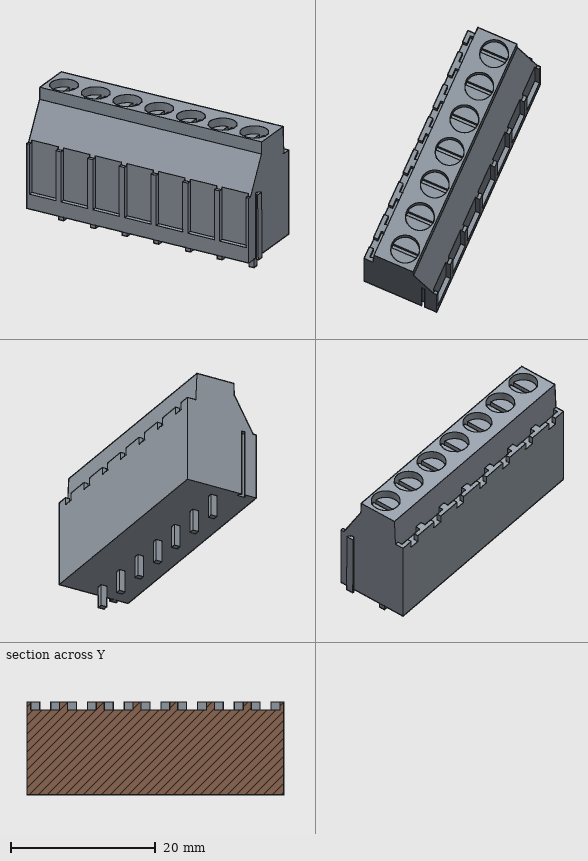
import cadquery as cq

POLES = 7
OVERALL_LENGTH = 36.2
HOUSING_LENGTH = 35.55
HOUSING_DEPTH = 11.0
HOUSING_HEIGHT = 17.05
PITCH = HOUSING_LENGTH / POLES

FRONT_LIP_HEIGHT = 9.92
FRONT_LIP_DEPTH = 0.5
SLOPE_TOP_Z = 15.25
SLOPE_TOP_Y = 3.5
TOP_FRONT_Y = 3.6
TOP_BACK_Y = 9.5
LEDGE_HEIGHT = 12.85
LEDGE_FRONT_Y = 9.65

POCKET_WIDTH = 4.25
POCKET_DEPTH = 0.7
POCKET_FLOOR_Z = 2.28

SCREW_Y = 5.9
SCREW_DIAMETER = 4.0
SCREW_WELL_DEPTH = 1.23
SCREW_SLOT_WIDTH = 0.58
SCREW_SLOT_DEPTH = 0.72

MARKER_NECK_WIDTH = 1.5
MARKER_HEAD_WIDTH = 3.95
MARKER_NECK_LENGTH = 0.65
MARKER_SLOT_DEPTH = 1.1

PIN_LENGTH = 3.25
PIN_WIDTH = 0.8
PIN_DEPTH = 0.9
PIN_Y = 5.55

DOVETAIL_Y = 2.05
DOVETAIL_NECK_WIDTH = 0.47
DOVETAIL_HEAD_WIDTH = 1.1
DOVETAIL_NECK_LENGTH = 0.1
DOVETAIL_FLARE_END = 0.35
DOVETAIL_LENGTH = OVERALL_LENGTH - HOUSING_LENGTH
TONGUE_TIP_TAPER = 0.1

POLE_CENTRES = [(pole + 0.5) * PITCH for pole in range(POLES)]


def box(width, depth, height, x_centre, y_min, z_min):
    """Box centred on x_centre that grows towards +Y and +Z."""
    block = cq.Workplane("XY").box(width, depth, height, centered=(True, False, False))
    return block.translate((x_centre, y_min, z_min))


def housing():
    profile = [
        (0, 0),
        (HOUSING_DEPTH, 0),
        (HOUSING_DEPTH, LEDGE_HEIGHT),
        (LEDGE_FRONT_Y, LEDGE_HEIGHT),
        (TOP_BACK_Y, HOUSING_HEIGHT),
        (TOP_FRONT_Y, HOUSING_HEIGHT),
        (SLOPE_TOP_Y, SLOPE_TOP_Z),
        (FRONT_LIP_DEPTH, FRONT_LIP_HEIGHT),
        (0, FRONT_LIP_HEIGHT),
    ]
    return cq.Workplane("YZ").polyline(profile).close().extrude(HOUSING_LENGTH)


def wire_pocket(x):
    height = SLOPE_TOP_Z - POCKET_FLOOR_Z
    return box(POCKET_WIDTH, POCKET_DEPTH, height, x, 0, POCKET_FLOOR_Z)


def screw_well(x):
    """Round well with a screwdriver slot across its floor."""
    radius = SCREW_DIAMETER / 2
    floor_z = HOUSING_HEIGHT - SCREW_WELL_DEPTH
    slot_z = floor_z - SCREW_SLOT_DEPTH
    well = cq.Workplane("XY").circle(radius).extrude(SCREW_WELL_DEPTH).translate((x, SCREW_Y, floor_z))
    bore = cq.Workplane("XY").circle(radius).extrude(SCREW_SLOT_DEPTH).translate((x, SCREW_Y, slot_z))
    bar = box(SCREW_SLOT_WIDTH, SCREW_DIAMETER, SCREW_SLOT_DEPTH, x, SCREW_Y - radius, slot_z)
    return well.union(bore.intersect(bar))


def marker_slot(x):
    """T-shaped slot, narrow at the back face and wide next to the upper wall."""
    floor_z = LEDGE_HEIGHT - MARKER_SLOT_DEPTH
    head_length = HOUSING_DEPTH - MARKER_NECK_LENGTH - LEDGE_FRONT_Y
    neck_y = HOUSING_DEPTH - MARKER_NECK_LENGTH
    neck = box(MARKER_NECK_WIDTH, MARKER_NECK_LENGTH, MARKER_SLOT_DEPTH, x, neck_y, floor_z)
    head = box(MARKER_HEAD_WIDTH, head_length, MARKER_SLOT_DEPTH, x, LEDGE_FRONT_Y, floor_z)
    return neck.union(head)


def pin(x):
    return box(PIN_WIDTH, PIN_DEPTH, PIN_LENGTH, x, PIN_Y - PIN_DEPTH / 2, -PIN_LENGTH)


def dovetail(x):
    """Upright dovetail that widens towards +X from its neck, which starts at x."""
    half_neck = DOVETAIL_NECK_WIDTH / 2
    half_head = DOVETAIL_HEAD_WIDTH / 2
    outline = [
        (0, -half_neck),
        (DOVETAIL_NECK_LENGTH, -half_neck),
        (DOVETAIL_FLARE_END, -half_head),
        (DOVETAIL_LENGTH, -half_head),
        (DOVETAIL_LENGTH, half_head),
        (DOVETAIL_FLARE_END, half_head),
        (DOVETAIL_NECK_LENGTH, half_neck),
        (0, half_neck),
    ]
    prism = cq.Workplane("XY").polyline(outline).close().extrude(FRONT_LIP_HEIGHT)
    return prism.translate((x, DOVETAIL_Y, 0))


def tongue():
    """Dovetail whose outer face leans inward towards its top."""
    wedge_outline = [
        (OVERALL_LENGTH, 0),
        (OVERALL_LENGTH, FRONT_LIP_HEIGHT),
        (OVERALL_LENGTH - TONGUE_TIP_TAPER, FRONT_LIP_HEIGHT),
    ]
    wedge = cq.Workplane("XZ").polyline(wedge_outline).close().extrude(-HOUSING_DEPTH)
    return dovetail(HOUSING_LENGTH).cut(wedge)


result = housing().union(tongue()).cut(dovetail(0))
for centre in POLE_CENTRES:
    result = result.cut(wire_pocket(centre))
    result = result.cut(screw_well(centre))
    result = result.cut(marker_slot(centre))
    result = result.union(pin(centre))